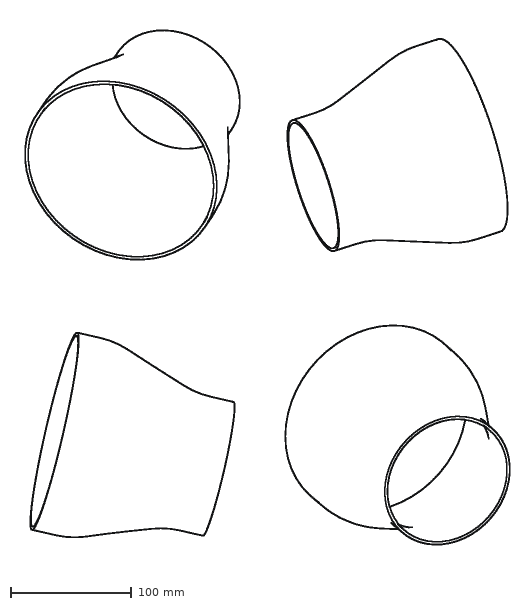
import cadquery as cq
import math

LENGTH = 140.0
COLLAR_LENGTH = 20.0
WIDE_OUTER_DIAMETER = 168.3
WIDE_BORE_DIAMETER = 162.5
NARROW_OUTER_DIAMETER = 114.3
NARROW_BORE_DIAMETER = 109.0
BLEND_RADIUS = 70.0

TRANSITION_LENGTH = LENGTH - 2 * COLLAR_LENGTH


def cone_half_angle(radius_drop):
    """Slope of the straight line tangent to both blend arcs."""
    arc_centre_gap = 2 * BLEND_RADIUS - radius_drop
    centre_distance = math.hypot(TRANSITION_LENGTH, arc_centre_gap)
    centre_line_tilt = math.atan2(arc_centre_gap, TRANSITION_LENGTH)
    return math.asin(2 * BLEND_RADIUS / centre_distance) - centre_line_tilt


def blend_offset(angle):
    """Axial and radial travel along a blend arc that has turned by the angle."""
    return BLEND_RADIUS * math.sin(angle), BLEND_RADIUS * (1 - math.cos(angle))


def reducer_solid(wide_diameter, narrow_diameter):
    """Solid of revolution: wide collar, arc, cone, arc, narrow collar."""
    wide_radius = wide_diameter / 2
    narrow_radius = narrow_diameter / 2
    angle = cone_half_angle(wide_radius - narrow_radius)
    end_axial, end_radial = blend_offset(angle)
    mid_axial, mid_radial = blend_offset(angle / 2)
    wide_collar_end = COLLAR_LENGTH
    narrow_collar_start = LENGTH - COLLAR_LENGTH

    half_profile = (
        cq.Workplane("XY")
        .moveTo(0, 0)
        .lineTo(wide_radius, 0)
        .lineTo(wide_radius, wide_collar_end)
        .threePointArc(
            (wide_radius - mid_radial, wide_collar_end + mid_axial),
            (wide_radius - end_radial, wide_collar_end + end_axial),
        )
        .lineTo(narrow_radius + end_radial, narrow_collar_start - end_axial)
        .threePointArc(
            (narrow_radius + mid_radial, narrow_collar_start - mid_axial),
            (narrow_radius, narrow_collar_start),
        )
        .lineTo(narrow_radius, LENGTH)
        .lineTo(0, LENGTH)
        .close()
    )
    return half_profile.revolve(360, (0, 0, 0), (0, 1, 0))


outer_body = reducer_solid(WIDE_OUTER_DIAMETER, NARROW_OUTER_DIAMETER)
bore = reducer_solid(WIDE_BORE_DIAMETER, NARROW_BORE_DIAMETER)

result = outer_body.cut(bore)